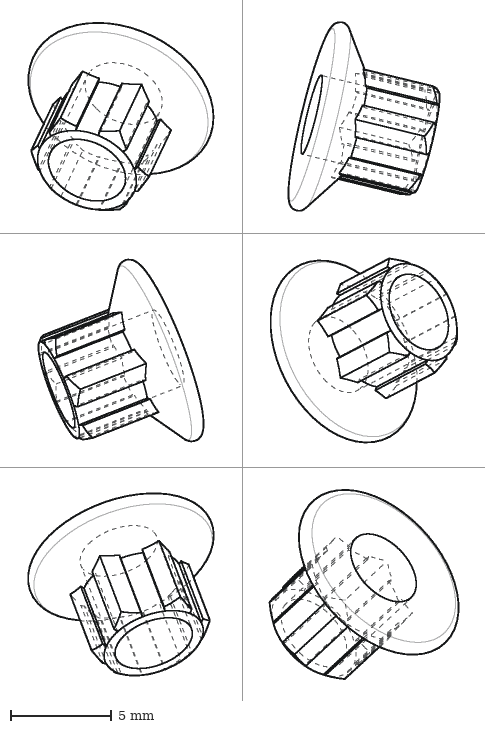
import cadquery as cq
import math

length = 5.91
flange_radius = 4.825
rim_radius = 0.41
cone_slope_deg = 35.0
tube_radius = 2.59
bore_radius = 2.02
hex_corner_radius = 3.09
hex_sides = 6
slot_width = 1.19


def revolve_about_y(profile):
    return profile.close().revolve(360, (0, 0, 0), (0, 1, 0))


def along_hub():
    """Sketch plane on the flange back face, extruding towards -Y."""
    return cq.Workplane("XZ")


def make_flange_and_tube():
    """Rounded rim running tangentially into a cone, then the plain tube."""
    slope = math.radians(cone_slope_deg)
    center_r = flange_radius - rim_radius
    cone_start_r = center_r + rim_radius * math.sin(slope)
    cone_start_y = -rim_radius - rim_radius * math.cos(slope)
    cone_end_y = cone_start_y - (cone_start_r - tube_radius) * math.tan(slope)
    profile = (
        cq.Workplane("XY")
        .moveTo(0, 0)
        .lineTo(center_r, 0)
        .threePointArc((flange_radius, -rim_radius), (cone_start_r, cone_start_y))
        .lineTo(tube_radius, cone_end_y)
        .lineTo(tube_radius, -length)
        .lineTo(0, -length)
    )
    return revolve_about_y(profile)


def make_hex_ribs():
    """Hexagon starting inside the flange, slotted at each face, with a 45 degree lead-in cone."""
    start = rim_radius
    ribs = (
        along_hub().workplane(offset=start)
        .polygon(hex_sides, 2 * hex_corner_radius)
        .extrude(length - start)
    )
    slot = (
        along_hub()
        .center(0, hex_corner_radius / 2)
        .rect(slot_width, hex_corner_radius)
        .extrude(length)
    )
    for side in range(hex_sides):
        ribs = ribs.cut(slot.rotate((0, 0, 0), (0, 1, 0), side * 360 / hex_sides))
    lead_in = hex_corner_radius - tube_radius
    envelope = revolve_about_y(
        cq.Workplane("XY")
        .moveTo(0, 0)
        .lineTo(hex_corner_radius, 0)
        .lineTo(hex_corner_radius, lead_in - length)
        .lineTo(tube_radius, -length)
        .lineTo(0, -length)
    )
    return ribs.intersect(envelope)


bore = along_hub().circle(bore_radius).extrude(length)
result = make_flange_and_tube().union(make_hex_ribs()).cut(bore)